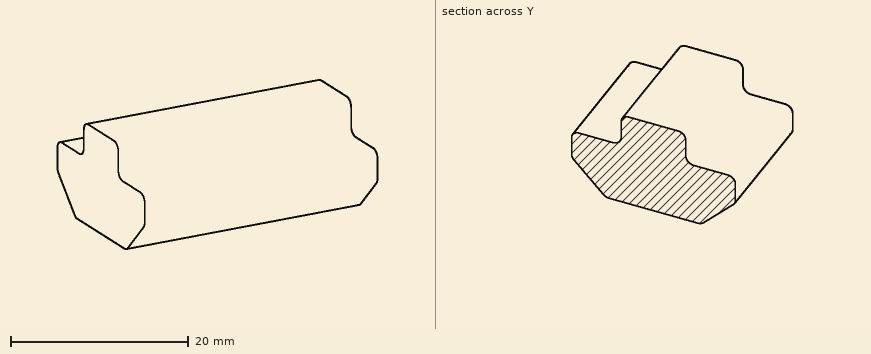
import cadquery as cq

base_width = 20.57
length = 30.0
total_height = 12.2

neck_width = 8.13
neck_height = 4.2
bevel = 4.31
edge_radius = 1.0

half_base = base_width / 2
half_neck = neck_width / 2
base_height = total_height - neck_height


def make_bar():
    """Extrude the sharp-cornered T-slot profile, centred on X and Y, bottom at Z = 0."""
    right_side = [
        (half_base - bevel, 0),
        (half_base, bevel),
        (half_base, base_height),
        (half_neck, base_height),
        (half_neck, total_height),
    ]
    left_side = [(-x, z) for x, z in reversed(right_side)]
    profile = cq.Workplane("XZ").polyline(right_side + left_side).close()
    return profile.extrude(length / 2, both=True)


def round_long_edges(bar):
    """Round every edge that runs along the length, inside corners included."""
    return bar.edges("|Y").fillet(edge_radius)


result = round_long_edges(make_bar())